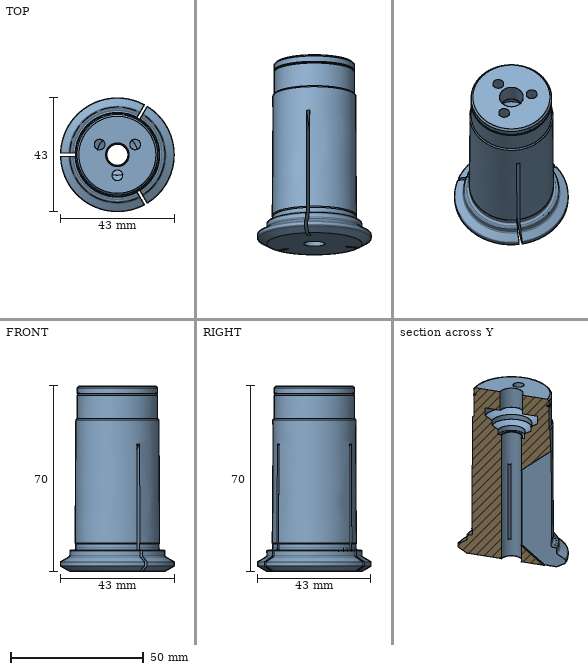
import cadquery as cq
import math

total_height = 70.0

flange_radius = 21.5
flange_base_radius = 18.0
flange_slope = math.radians(30.0)
rim_height = 1.6
rim_lower_fillet = 0.5
rim_upper_fillet = 0.3
collar_radius = 18.0
collar_top = 8.0
collar_top_fillet = 0.4
collar_root_fillet = 0.7

neck_radius = 15.8
neck_fillet = 0.8
neck_top = 10.35
neck_runout_top = 10.8
relief_outer_radius = 16.95
relief_slope = math.radians(8.0)

body_lower_radius = 16.0
body_upper_radius = 15.75
body_top = 57.8
shoulder_chamfer_height = 0.55

head_radius = 15.25
head_chamfer = 0.7
groove_radius = 14.25
groove_top = 67.25
groove_width = 0.2
groove_chamfer = 0.5

counterbore_radii = [10.5, 7.75, 5.25]
bore_radius = 3.97
bore_mouth_radius = 4.25
bore_cone_slope = math.radians(30.0)
cap_thickness = 8.0
cap_hole_diameter = 8.92
chamber_depth = 3.0
step_length = 2.0

small_hole_diameter = 4.0
small_hole_circle_radius = 7.75
small_hole_angles = [30, 150, 270]

slot_width = 1.2
slot_angles = [60, 180, 300]
slot_outer_top = 48.3
slot_inner_top = 38.3
slot_inner_bottom = 7.0
slot_foot_radius = 13.25
slot_reach = 25.0

selection_margin = 0.05


def ring_edge(radius, z):
    """Selector for the circular edge of the given radius at height z."""
    low = -radius - selection_margin
    high = radius + selection_margin
    return cq.selectors.BoxSelector(
        (low, low, z - selection_margin),
        (high, high, z + selection_margin),
        boundingbox=True,
    )


def make_outer_body():
    """Turned outside shape, as a solid without bores."""
    rim_bottom = (flange_radius - flange_base_radius) * math.tan(flange_slope)
    rim_top = rim_bottom + rim_height
    collar_bottom = rim_top + (flange_radius - collar_radius) * math.tan(flange_slope)
    relief_inner_radius = neck_radius + neck_fillet * (1 + math.sin(relief_slope))
    relief_bottom = collar_top - (relief_outer_radius - relief_inner_radius) * math.tan(relief_slope)
    fillet_center_z = relief_bottom + neck_fillet * math.cos(relief_slope)
    shoulder_bottom = body_top - shoulder_chamfer_height
    groove_bottom = groove_top - groove_width
    groove_shoulder_radius = head_radius - groove_chamfer

    profile = (
        cq.Workplane("XZ")
        .moveTo(0, 0)
        .lineTo(flange_base_radius, 0)
        .lineTo(flange_radius, rim_bottom)
        .lineTo(flange_radius, rim_top)
        .lineTo(collar_radius, collar_bottom)
        .lineTo(collar_radius, collar_top)
        .lineTo(relief_outer_radius, collar_top)
        .lineTo(relief_inner_radius, relief_bottom)
        .radiusArc((neck_radius, fillet_center_z), neck_fillet)
        .lineTo(neck_radius, neck_top)
        .lineTo(body_lower_radius, neck_runout_top)
        .lineTo(body_upper_radius, shoulder_bottom)
        .lineTo(head_radius, body_top)
        .lineTo(head_radius, groove_bottom - groove_chamfer)
        .lineTo(groove_shoulder_radius, groove_bottom)
        .lineTo(groove_radius, groove_bottom)
        .lineTo(groove_radius, groove_top)
        .lineTo(head_radius, groove_top)
        .lineTo(head_radius, total_height - head_chamfer)
        .lineTo(head_radius - head_chamfer, total_height)
        .lineTo(0, total_height)
        .close()
    )
    body = profile.revolve(360, (0, 0, 0), (0, 1, 0))

    body = body.edges(ring_edge(collar_radius, collar_top)).fillet(collar_top_fillet)
    body = body.edges(ring_edge(flange_radius, rim_bottom)).fillet(rim_lower_fillet)
    body = body.edges(ring_edge(flange_radius, rim_top)).fillet(rim_upper_fillet)
    return body.edges(ring_edge(collar_radius, collar_bottom)).fillet(collar_root_fillet)


def make_bores():
    """Stepped bore below the cap, together with the hole through the cap."""
    z = total_height - cap_thickness
    profile = cq.Workplane("XZ").moveTo(0, z).lineTo(counterbore_radii[0], z)
    z -= chamber_depth
    profile = profile.lineTo(counterbore_radii[0], z)
    for wide, narrow in zip(counterbore_radii, counterbore_radii[1:]):
        z -= (wide - narrow) * math.tan(bore_cone_slope)
        profile = profile.lineTo(narrow, z)
        z -= step_length
        profile = profile.lineTo(narrow, z)
    mouth_bottom = z - (bore_mouth_radius - bore_radius) * math.tan(bore_cone_slope)
    profile = profile.lineTo(bore_mouth_radius, z).lineTo(bore_radius, mouth_bottom)
    profile = profile.lineTo(bore_radius, 0).lineTo(0, 0).close()
    bores = profile.revolve(360, (0, 0, 0), (0, 1, 0))
    cap_hole = (
        cq.Workplane("XY")
        .workplane(offset=total_height - cap_thickness)
        .circle(cap_hole_diameter / 2)
        .extrude(cap_thickness)
    )
    return bores.union(cap_hole)


def make_small_hole(angle):
    """One small hole through the cap into the chamber."""
    turn = math.radians(angle)
    center_x = small_hole_circle_radius * math.cos(turn)
    center_y = small_hole_circle_radius * math.sin(turn)
    return (
        cq.Workplane("XY")
        .workplane(offset=total_height - cap_thickness)
        .center(center_x, center_y)
        .circle(small_hole_diameter / 2)
        .extrude(cap_thickness)
    )


def make_slot(angle):
    """One radial slot whose sloped ends run from the bore out to the surface."""
    top_slope = (slot_outer_top - slot_inner_top) / (body_lower_radius - bore_radius)
    outside_top = slot_outer_top + top_slope * (slot_reach - body_lower_radius)
    return (
        cq.Workplane("XZ")
        .polyline(
            [
                (0, slot_inner_bottom),
                (bore_radius, slot_inner_bottom),
                (slot_foot_radius, 0),
                (slot_reach, 0),
                (slot_reach, outside_top),
                (bore_radius, slot_inner_top),
                (0, slot_inner_top),
            ]
        )
        .close()
        .extrude(slot_width / 2, both=True)
        .rotate((0, 0, 0), (0, 0, 1), angle)
    )


result = make_outer_body().cut(make_bores())
for hole_angle in small_hole_angles:
    result = result.cut(make_small_hole(hole_angle))
for slot_angle in slot_angles:
    result = result.cut(make_slot(slot_angle))